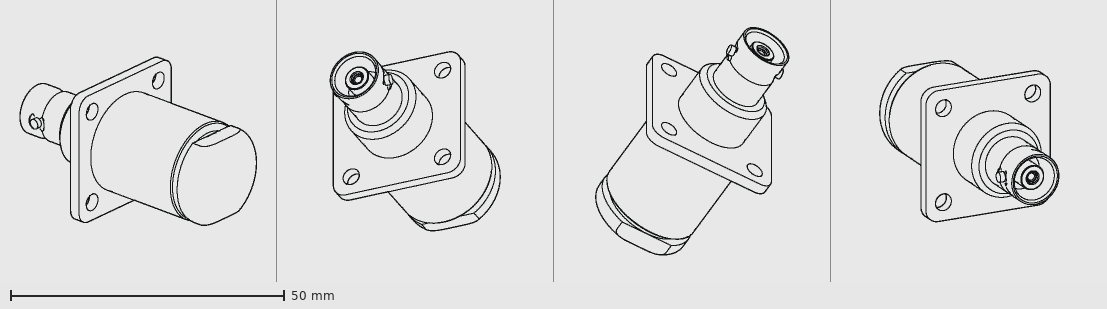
import cadquery as cq
import math

length = 45.95

nose_radius = 4.83
groove_start = 2.85
groove_width = 2.45
groove_depth = 0.25
stud_x = groove_start + groove_width / 2
stud_diameter = 1.9
stud_tip = 5.5
spot_face_diameter = 3.7
spot_face_offset = 4.55

socket_lip_radius = 4.5
socket_mouth_radius = 4.1
socket_floor_radius = 3.55
socket_lip_depth = socket_lip_radius - socket_mouth_radius
socket_depth = 5.5

insulator_radius = 2.35
insulator_x = 1.1
insulator_chamfer = 0.15
insulator_bore_chamfer = 0.2
insulator_bore_radius = 1.15
insulator_bore_depth = 2.75
contact_radius = 1.0
contact_x = 1.55
contact_hole_radius = 0.7
contact_countersink = 0.2
contact_hole_depth = 2.3

shoulder_x = 10.85
shoulder_radius = 7.13
shoulder_chamfer = 1.0
flange_x = 19.4
flange_thickness = 2.1
flange_side = 25.4
flange_corner_radius = 2.55
hole_spacing = 18.25
hole_radius = 1.6
barrel_radius = 9.5
barrel_end = 41.3
barrel_chamfer = 0.28

neck_radius = 7.9
neck_x = 41.7
nut_x = 42.65
nut_radius = barrel_radius
nut_fillet = 1.4
nut_across_flats = 15.9


def revolve(profile):
    """Turn a closed (x, radius) profile about the X axis."""
    return profile.close().revolve(360, (0, 0, 0), (1, 0, 0))


def make_turned_body():
    """Solid nose, shoulder, barrel, neck and round nut."""
    nut_inset = nut_fillet * (1 - math.sqrt(0.5))
    profile = (
        cq.Workplane("XY")
        .moveTo(0, 0)
        .lineTo(0, nose_radius)
        .lineTo(groove_start, nose_radius)
        .threePointArc(
            (stud_x, nose_radius - groove_depth),
            (groove_start + groove_width, nose_radius),
        )
        .lineTo(shoulder_x, nose_radius)
        .lineTo(shoulder_x, shoulder_radius - shoulder_chamfer)
        .lineTo(shoulder_x + shoulder_chamfer, shoulder_radius)
        .lineTo(flange_x, shoulder_radius)
        .lineTo(flange_x, barrel_radius)
        .lineTo(barrel_end - barrel_chamfer, barrel_radius)
        .lineTo(barrel_end, barrel_radius - barrel_chamfer)
        .lineTo(neck_x, neck_radius)
        .lineTo(nut_x, neck_radius)
        .lineTo(nut_x, nut_radius)
        .lineTo(length - nut_fillet, nut_radius)
        .threePointArc(
            (length - nut_inset, nut_radius - nut_inset),
            (length, nut_radius - nut_fillet),
        )
        .lineTo(length, 0)
    )
    return revolve(profile)


def cut_nut_flats(body):
    """Cut the two wrench flats on the top and bottom of the nut."""
    flat_depth = nut_radius - nut_across_flats / 2
    for side in (1, -1):
        cutter = (
            cq.Workplane("XY")
            .box(length - nut_x, 2 * nut_radius, flat_depth, centered=(False, True, True))
            .translate((nut_x, 0, side * (nut_across_flats + flat_depth) / 2))
        )
        body = body.cut(cutter)
    return body


def make_flange():
    """Square mounting plate with rounded corners and four holes."""
    return (
        cq.Workplane("YZ", origin=(flange_x, 0, 0))
        .rect(flange_side, flange_side)
        .extrude(flange_thickness)
        .edges("|X")
        .fillet(flange_corner_radius)
        .faces("<X")
        .workplane()
        .rect(hole_spacing, hole_spacing, forConstruction=True)
        .vertices()
        .hole(2 * hole_radius)
    )


def radial_disc(diameter, start, end):
    """Cylinder along Y at the stud position, between two Y values."""
    return (
        cq.Workplane("XZ", origin=(stud_x, start, 0))
        .circle(diameter / 2)
        .extrude(start - end)
    )


def add_studs(body):
    """Cut a spot face on each side of the nose and stand a stud on it, rooted in the nose wall."""
    for side in (1, -1):
        spot_face = radial_disc(spot_face_diameter, side * spot_face_offset, side * stud_tip)
        stud = radial_disc(stud_diameter, side * socket_mouth_radius, side * stud_tip)
        body = body.cut(spot_face).union(stud)
    return body


def make_socket():
    """Tapered socket cavity with a 45 degree lip."""
    return revolve(
        cq.Workplane("XY")
        .moveTo(0, 0)
        .lineTo(0, socket_lip_radius)
        .lineTo(socket_lip_depth, socket_mouth_radius)
        .lineTo(socket_depth, socket_floor_radius)
        .lineTo(socket_depth, 0)
    )


def make_insulator():
    """Bored insulator sleeve with both front edges chamfered."""
    bore_floor = insulator_x + insulator_bore_depth
    return revolve(
        cq.Workplane("XY")
        .moveTo(socket_depth, 0)
        .lineTo(socket_depth, insulator_radius)
        .lineTo(insulator_x + insulator_chamfer, insulator_radius)
        .lineTo(insulator_x, insulator_radius - insulator_chamfer)
        .lineTo(insulator_x, insulator_bore_radius + insulator_bore_chamfer)
        .lineTo(insulator_x + insulator_bore_chamfer, insulator_bore_radius)
        .lineTo(bore_floor, insulator_bore_radius)
        .lineTo(bore_floor, 0)
    )


def make_contact():
    """Hollow centre contact with a countersunk mouth."""
    hole_floor = contact_x + contact_hole_depth
    return revolve(
        cq.Workplane("XY")
        .moveTo(socket_depth, 0)
        .lineTo(socket_depth, contact_radius)
        .lineTo(contact_x, contact_radius)
        .lineTo(contact_x, contact_hole_radius + contact_countersink)
        .lineTo(contact_x + contact_countersink, contact_hole_radius)
        .lineTo(hole_floor, contact_hole_radius)
        .lineTo(hole_floor, 0)
    )


outer_body = cut_nut_flats(make_turned_body()).union(make_flange())
outer_body = add_studs(outer_body).cut(make_socket())
result = outer_body.union(make_insulator().union(make_contact()))